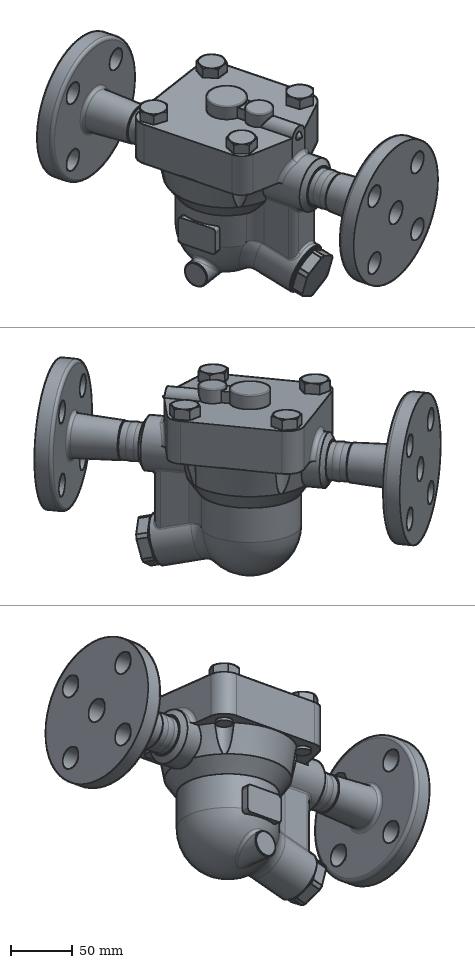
import cadquery as cq
import math


LENGTH = 309.0
INLET_FACE_X = -144.0
OUTLET_FACE_X = INLET_FACE_X + LENGTH
MIDDLE_X = (INLET_FACE_X + OUTLET_FACE_X) / 2
FLANGE_DIAMETER = 125.0
FLANGE_THICKNESS = 15.0
FLANGE_EDGE_RADIUS = 3.0
FLANGE_BOLT_CIRCLE = 90.0
FLANGE_HOLE_DIAMETER = 19.0
FLANGE_HOLE_COUNT = 4
FLANGE_HOLE_START_ANGLE = 45.0
BORE_DIAMETER = 20.0
PIPE_DIAMETER = 32.0
TAPER_LARGE_DIAMETER = 37.0
TAPER_SMALL_DIAMETER = 33.0
TAPER_END = 57.5
TAPER_STEP_LENGTH = 0.8
TAPER_ROOT_RADIUS = 3.0
WELD_START = 64.0
WELD_WIDTH = 6.5
WELD_HEIGHT = 0.5
HUB_DIAMETER = 46.0
HUB_START = 75.3
HUB_CHAMFER_LENGTH = 3.6
HUB_CHAMFER_HEIGHT = 5.5
HUB_PLATE_FILLET = 4.0

SELECTION_MARGIN = 1.0

BOLT_OFFSET = 43.0
PLATE_CORNER_RADIUS = 14.5
PLATE_HALF_WIDTH = BOLT_OFFSET + PLATE_CORNER_RADIUS
PLATE_NOSE_X = 70.0
PLATE_NOSE_HALF_WIDTH = 9.0
PLATE_BOTTOM_Z = 6.5
PLATE_TOP_Z = 43.7

BOLT_DIAMETER = 14.0
BOLTS = [
    (-BOLT_OFFSET, -BOLT_OFFSET, 4.0),
    (BOLT_OFFSET, -BOLT_OFFSET, 33.0),
    (BOLT_OFFSET, BOLT_OFFSET, 3.0),
    (-BOLT_OFFSET, BOLT_OFFSET, 28.0),
]
BOLT_END_Z = 3.9
BOLT_HEAD_FLATS = 22.0
BOLT_HEAD_TOP_Z = 53.0
BOLT_HEAD_CHAMFER_ANGLE = 30.0
SPOT_FACE_DIAMETER = 18.0

BOSS_TOP_Z = 56.3
BOSS_EDGE_RADIUS = 1.0
LARGE_BOSS_DIAMETER = 33.2
SMALL_BOSS_DIAMETER = 23.0
SMALL_BOSS_X = 31.6
NECK_WIDTH = 14.0
NECK_TOP_Z = 53.7
ROD_DIAMETER = 18.0
ROD_AXIS_Z = 41.4
NUB_HEIGHT = 3.8

BODY_RADIUS = 42.0
DOME_CENTER_Z = -62.2
BOWL_TOP_RADIUS = 57.0
BOWL_RIM_RADIUS = 51.8
BOWL_RIM_Z = -19.0
BOWL_BOTTOM_Z = -32.5

CHAMBER_END_X = 77.0
CHAMBER_HALF_WIDTH = 17.0
CHAMBER_CORNER_RADIUS = 6.0
BLEND_RADIUS = 15.0
CHAMBER_HUB_FILLET = 3.0
CHAMBER_PORT_FILLET = 2.0

PORT_SLOPE = 15.0
PORT_DIAMETER = 44.0
PORT_END = 80.5
PORT_CHAMFER = 1.0
PORT_AXIS_LOW_Z = DOME_CENTER_Z - CHAMBER_END_X * math.tan(math.radians(PORT_SLOPE))
PLUG_NECK_LENGTH = 1.0
PLUG_NECK_DIAMETER = 38.0
PLUG_END = 91.6
PLUG_FLATS = 38.0
PLUG_DIAMETER = 41.77

PIN_DIAMETER = 22.0
PIN_Z = -91.0
PIN_END_Y = -46.0
PIN_CHAMFER = 0.6
PIN_ROOT_FILLET = 3.0
NAME_PLATE_WIDTH = 36.5
NAME_PLATE_TOP_Z = -42.6
NAME_PLATE_BOTTOM_Z = -66.9
NAME_PLATE_Y = -44.4
NAME_PLATE_CORNER_RADIUS = 3.0


def cylinder(diameter, bottom_z, top_z, x=0.0, y=0.0):
    """Vertical cylinder between two heights."""
    return cq.Workplane("XY", origin=(x, y, bottom_z)).circle(diameter / 2).extrude(top_z - bottom_z)


def box_selector(x_range, y_range, z_range):
    """Selects what has its centre inside a box."""
    low, high = zip(x_range, y_range, z_range)
    return cq.selectors.BoxSelector(low, high)


def make_inlet_pipe():
    """Flange, tapered neck, weld bead and hub end of the inlet, turned about the pipe axis."""
    flange_back_x = INLET_FACE_X + FLANGE_THICKNESS
    flange_radius = FLANGE_DIAMETER / 2
    pipe_radius = PIPE_DIAMETER / 2
    taper_root = TAPER_LARGE_DIAMETER / 2
    taper_end_x = INLET_FACE_X + TAPER_END
    weld_x = INLET_FACE_X + WELD_START
    hub_x = INLET_FACE_X + HUB_START
    hub_radius = HUB_DIAMETER / 2
    diagonal = 1 - math.sqrt(0.5)
    return (
        cq.Workplane("XY")
        .moveTo(INLET_FACE_X, 0)
        .lineTo(INLET_FACE_X, flange_radius)
        .lineTo(flange_back_x - FLANGE_EDGE_RADIUS, flange_radius)
        .threePointArc(
            (flange_back_x - FLANGE_EDGE_RADIUS * diagonal, flange_radius - FLANGE_EDGE_RADIUS * diagonal),
            (flange_back_x, flange_radius - FLANGE_EDGE_RADIUS),
        )
        .lineTo(flange_back_x, taper_root + TAPER_ROOT_RADIUS)
        .threePointArc(
            (flange_back_x + TAPER_ROOT_RADIUS * diagonal, taper_root + TAPER_ROOT_RADIUS * diagonal),
            (flange_back_x + TAPER_ROOT_RADIUS, taper_root),
        )
        .lineTo(taper_end_x, TAPER_SMALL_DIAMETER / 2)
        .lineTo(taper_end_x + TAPER_STEP_LENGTH, pipe_radius)
        .lineTo(weld_x, pipe_radius)
        .threePointArc(
            (weld_x + WELD_WIDTH / 2, pipe_radius + WELD_HEIGHT),
            (weld_x + WELD_WIDTH, pipe_radius),
        )
        .lineTo(hub_x, pipe_radius)
        .lineTo(hub_x, hub_radius - HUB_CHAMFER_HEIGHT)
        .lineTo(hub_x + HUB_CHAMFER_LENGTH, hub_radius)
        .lineTo(0, hub_radius)
        .lineTo(0, 0)
        .close()
        .revolve(360, (0, 0, 0), (1, 0, 0))
    )


def make_pipe():
    """Inlet and outlet, mirror images about the middle of the length."""
    inlet = make_inlet_pipe()
    outlet = inlet.mirror("YZ", (MIDDLE_X, 0, 0))
    return inlet.union(outlet)


def cut_flange_holes(part):
    """Flange bolt holes and a blind bore as far as the hub from each end."""
    holes = (
        cq.Workplane("YZ", origin=(INLET_FACE_X, 0, 0))
        .polarArray(FLANGE_BOLT_CIRCLE / 2, FLANGE_HOLE_START_ANGLE, 360, FLANGE_HOLE_COUNT)
        .circle(FLANGE_HOLE_DIAMETER / 2)
        .extrude(FLANGE_THICKNESS)
    )
    bore = cq.Workplane("YZ", origin=(INLET_FACE_X, 0, 0)).circle(BORE_DIAMETER / 2).extrude(HUB_START)
    tools = holes.union(bore)
    return part.cut(tools).cut(tools.mirror("YZ", (MIDDLE_X, 0, 0)))


def make_plates():
    """Joined cover and body plates, with straight sides tangent to the +X corners and a blunt nose."""
    corner = BOLT_OFFSET
    radius = PLATE_CORNER_RADIUS
    nose_run = PLATE_NOSE_X - corner
    nose_rise = corner - PLATE_NOSE_HALF_WIDTH
    tangent = math.acos(radius / math.hypot(nose_run, nose_rise)) - math.atan2(nose_rise, nose_run)
    middle = (tangent + math.pi / 2) / 2
    left_arc = corner + radius * math.sqrt(0.5)
    tangent_x = corner + radius * math.cos(tangent)
    tangent_y = corner + radius * math.sin(tangent)
    arc_x = corner + radius * math.cos(middle)
    arc_y = corner + radius * math.sin(middle)
    half = PLATE_HALF_WIDTH
    return (
        cq.Workplane("XY", origin=(0, 0, PLATE_BOTTOM_Z))
        .moveTo(-half, -corner)
        .threePointArc((-left_arc, -left_arc), (-corner, -half))
        .lineTo(corner, -half)
        .threePointArc((arc_x, -arc_y), (tangent_x, -tangent_y))
        .lineTo(PLATE_NOSE_X, -PLATE_NOSE_HALF_WIDTH)
        .lineTo(PLATE_NOSE_X, PLATE_NOSE_HALF_WIDTH)
        .lineTo(tangent_x, tangent_y)
        .threePointArc((arc_x, arc_y), (corner, half))
        .lineTo(-corner, half)
        .threePointArc((-left_arc, left_arc), (-half, corner))
        .close()
        .extrude(PLATE_TOP_Z - PLATE_BOTTOM_Z)
    )


def fillet_hub_to_plates(part):
    """Concave fillet where the hub leaves the sides of the plates."""
    margin = SELECTION_MARGIN
    reach = HUB_DIAMETER / 2 + margin
    z_range = (PLATE_BOTTOM_Z + margin, reach)
    left = box_selector((-PLATE_HALF_WIDTH - margin, -PLATE_HALF_WIDTH + margin), (-reach, reach), z_range)
    right = box_selector((BOLT_OFFSET, PLATE_NOSE_X + margin), (-reach, reach), z_range)
    return part.edges(left).fillet(HUB_PLATE_FILLET).edges(right).fillet(HUB_PLATE_FILLET)


def make_body():
    """Bowl, cylinder and dome turned about the vertical axis, with spot faces for the bolts."""
    dome_side = BODY_RADIUS * math.sqrt(0.5)
    body = (
        cq.Workplane("XZ")
        .moveTo(0, PLATE_BOTTOM_Z)
        .lineTo(BOWL_TOP_RADIUS, PLATE_BOTTOM_Z)
        .lineTo(BOWL_RIM_RADIUS, BOWL_RIM_Z)
        .lineTo(BODY_RADIUS, BOWL_BOTTOM_Z)
        .lineTo(BODY_RADIUS, DOME_CENTER_Z)
        .threePointArc((dome_side, DOME_CENTER_Z - dome_side), (0, DOME_CENTER_Z - BODY_RADIUS))
        .close()
        .revolve(360, (0, 0, 0), (0, 1, 0))
    )
    for x, y, _ in BOLTS:
        body = body.cut(cylinder(SPOT_FACE_DIAMETER, BOWL_BOTTOM_Z, PLATE_BOTTOM_Z, x, y))
    return body


def body_blend(half_width):
    """Start, middle and end of the concave arc from the body circle to a line parallel to the first axis.

    The points are relative to the body centre, and the line lies half_width above it.
    """
    center_v = half_width + BLEND_RADIUS
    center_u = math.sqrt((BODY_RADIUS + BLEND_RADIUS) ** 2 - center_v**2)
    share = BODY_RADIUS / (BODY_RADIUS + BLEND_RADIUS)
    start_angle = math.atan2(-center_v, -center_u)
    middle_angle = (start_angle - math.pi / 2) / 2
    start = (share * center_u, share * center_v)
    middle = (
        center_u + BLEND_RADIUS * math.cos(middle_angle),
        center_v + BLEND_RADIUS * math.sin(middle_angle),
    )
    return start, middle, (center_u, half_width)


def make_chamber():
    """Upright chamber from the hub down to the port axis, blended into the body by concave arcs."""
    start, middle, end = body_blend(CHAMBER_HALF_WIDTH)
    half = (
        cq.Workplane("XY", origin=(0, 0, PORT_AXIS_LOW_Z))
        .lineTo(0, start[1])
        .lineTo(*start)
        .threePointArc(middle, end)
        .lineTo(CHAMBER_END_X, CHAMBER_HALF_WIDTH)
        .lineTo(CHAMBER_END_X, 0)
        .close()
        .extrude(-PORT_AXIS_LOW_Z)
    )
    chamber = half.union(half.mirror("XZ")).edges("|Z and >X").fillet(CHAMBER_CORNER_RADIUS)
    below_port_axis = (
        cq.Workplane("XZ")
        .moveTo(0, DOME_CENTER_Z)
        .lineTo(CHAMBER_END_X, PORT_AXIS_LOW_Z)
        .lineTo(0, PORT_AXIS_LOW_Z)
        .close()
        .extrude(BODY_RADIUS, both=True)
    )
    return chamber.cut(below_port_axis)


def port_direction():
    slope = math.radians(PORT_SLOPE)
    return cq.Vector(math.cos(slope), 0, -math.sin(slope))


def port_plane(distance):
    """Plane square to the port axis, at a distance from the dome centre."""
    direction = port_direction()
    origin = cq.Vector(0, 0, DOME_CENTER_Z) + direction * distance
    return cq.Plane(origin=origin, xDir=(0, 1, 0), normal=direction)


def make_port():
    """Port cylinder that flares into the dome."""
    radius = PORT_DIAMETER / 2
    start, middle, end = body_blend(radius)
    plane = cq.Plane(origin=(0, 0, DOME_CENTER_Z), xDir=port_direction(), normal=(0, -1, 0))
    upright = (
        cq.Workplane(plane)
        .lineTo(*start)
        .threePointArc(middle, end)
        .lineTo(PORT_END - PORT_CHAMFER, radius)
        .lineTo(PORT_END, radius - PORT_CHAMFER)
        .lineTo(PORT_END, 0)
        .close()
        .revolve(360, (0, 0, 0), (1, 0, 0))
    )
    return upright.rotate(plane.origin.toTuple(), (plane.origin + plane.xDir).toTuple(), 180)


def make_plug():
    """Hexagonal plug in the port end, its corners turned down to a cylinder, on a short round neck."""
    neck = cq.Workplane(port_plane(PORT_END)).circle(PLUG_NECK_DIAMETER / 2).extrude(PLUG_NECK_LENGTH)
    head_start = PORT_END + PLUG_NECK_LENGTH
    height = PLUG_END - head_start
    head_base = cq.Workplane(port_plane(head_start))
    hexagon = head_base.polygon(6, PLUG_FLATS, circumscribed=True).extrude(height)
    turned = head_base.circle(PLUG_DIAMETER / 2).extrude(height)
    return neck.union(hexagon.intersect(turned))


def make_bolt(x, y, turn):
    """Cover bolt: shank end below the plates and a chamfered hexagon head above."""
    shank = cylinder(BOLT_DIAMETER, BOLT_END_Z, PLATE_BOTTOM_Z, x, y)
    height = BOLT_HEAD_TOP_Z - PLATE_TOP_Z
    corner_radius = BOLT_HEAD_FLATS / math.sqrt(3)
    chamfer_width = corner_radius - BOLT_HEAD_FLATS / 2
    chamfer_height = chamfer_width * math.tan(math.radians(BOLT_HEAD_CHAMFER_ANGLE))
    head = (
        cq.Workplane("XY", origin=(x, y, PLATE_TOP_Z))
        .transformed(rotate=(0, 0, turn))
        .polygon(6, 2 * corner_radius)
        .extrude(height)
    )
    turned = cq.Workplane("XY", origin=(x, y, PLATE_TOP_Z)).circle(corner_radius).extrude(height)
    turned = turned.faces(">Z").chamfer(chamfer_height, chamfer_width)
    return shank.union(head.intersect(turned))


def make_cover_bosses():
    """Two round bosses with a neck between them, and a horizontal rod that ends in a conical nub."""
    large = cylinder(LARGE_BOSS_DIAMETER, PLATE_TOP_Z, BOSS_TOP_Z)
    large = large.faces(">Z").edges().fillet(BOSS_EDGE_RADIUS)
    small = cylinder(SMALL_BOSS_DIAMETER, PLATE_TOP_Z, BOSS_TOP_Z, SMALL_BOSS_X)
    small = small.faces(">Z").edges().fillet(BOSS_EDGE_RADIUS)
    neck = (
        cq.Workplane("XY", origin=(SMALL_BOSS_X / 2, 0, PLATE_TOP_Z))
        .rect(SMALL_BOSS_X, NECK_WIDTH)
        .extrude(NECK_TOP_Z - PLATE_TOP_Z)
    )
    rod = (
        cq.Workplane("YZ", origin=(SMALL_BOSS_X, 0, ROD_AXIS_Z))
        .circle(ROD_DIAMETER / 2)
        .extrude(PLATE_NOSE_X - SMALL_BOSS_X)
    )
    nub_base = cq.Vector(PLATE_NOSE_X, 0, ROD_AXIS_Z)
    nub = cq.Solid.makeCone(NUB_HEIGHT, 0, NUB_HEIGHT, nub_base, cq.Vector(1, 0, 0))
    return large.union(small).union(neck).union(rod).union(cq.Workplane(nub))


def make_drain_pin():
    return (
        cq.Workplane("XZ", origin=(0, 0, PIN_Z))
        .circle(PIN_DIAMETER / 2)
        .extrude(-PIN_END_Y)
        .faces("<Y")
        .chamfer(PIN_CHAMFER)
    )


def make_name_plate():
    height = NAME_PLATE_TOP_Z - NAME_PLATE_BOTTOM_Z
    middle_z = (NAME_PLATE_TOP_Z + NAME_PLATE_BOTTOM_Z) / 2
    return (
        cq.Workplane("XZ", origin=(0, 0, middle_z))
        .rect(NAME_PLATE_WIDTH, height)
        .extrude(-NAME_PLATE_Y)
        .edges("|Y")
        .fillet(NAME_PLATE_CORNER_RADIUS)
    )


def fillet_pin_root(part):
    """Concave fillet where the drain pin leaves the dome."""
    reach = PIN_DIAMETER / 2 + SELECTION_MARGIN
    root = box_selector((-reach, reach), (-BODY_RADIUS, 0), (PIN_Z - reach, PIN_Z + reach))
    seam = cq.selectors.ParallelDirSelector(cq.Vector(0, 1, 0))
    return part.edges(root - seam).fillet(PIN_ROOT_FILLET)


def fillet_chamber_joint(part, z_range, radius):
    """Concave fillet where the chamber walls end against the hub above or the port below."""
    reach = CHAMBER_HALF_WIDTH + SELECTION_MARGIN
    y_range = (-reach, reach)
    x_range = (BOWL_RIM_RADIUS, CHAMBER_END_X + SELECTION_MARGIN)
    return part.edges(box_selector(x_range, y_range, z_range)).fillet(radius)


def make_part():
    outlet = make_chamber().union(make_port())
    port_joint_heights = (PORT_AXIS_LOW_Z + PORT_DIAMETER / 4, DOME_CENTER_Z + PORT_DIAMETER / 4)
    outlet = fillet_chamber_joint(outlet, port_joint_heights, CHAMBER_PORT_FILLET)
    lower = fillet_pin_root(make_body().union(make_drain_pin())).union(outlet)
    part = fillet_hub_to_plates(make_plates().union(make_pipe())).union(lower)
    hub_joint_heights = (-HUB_DIAMETER / 2, -HUB_DIAMETER / 4)
    part = fillet_chamber_joint(part, hub_joint_heights, CHAMBER_HUB_FILLET)
    part = part.union(make_name_plate()).union(make_plug()).union(make_cover_bosses())
    for x, y, turn in BOLTS:
        part = part.union(make_bolt(x, y, turn))
    return cut_flange_holes(part)


result = make_part()